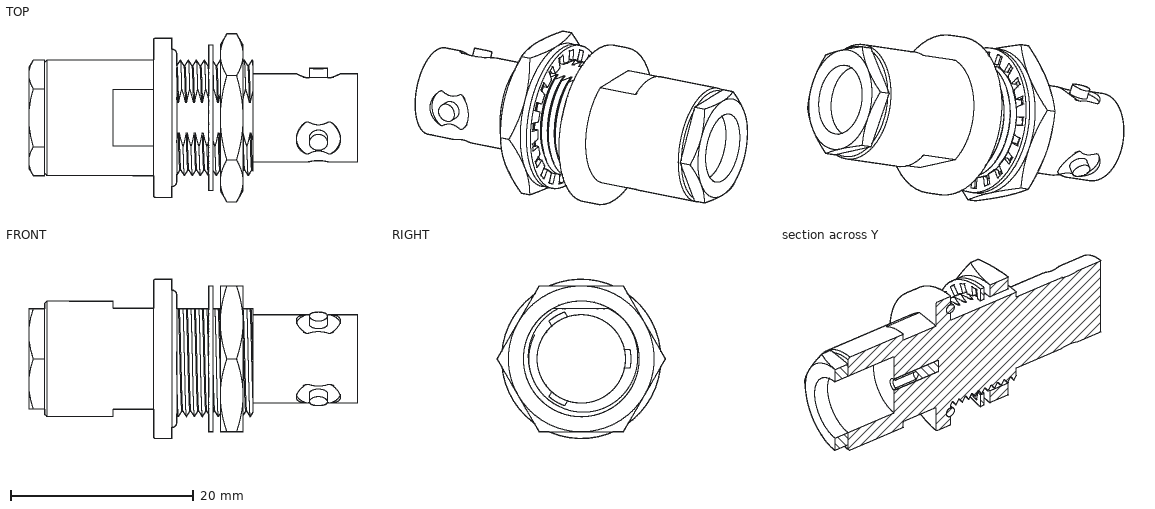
import cadquery as cq
import math


clamp_nut_length = 1.75
flange_start = 13.69
flange_thickness = 2.0
flange_end = flange_start + flange_thickness
thread_end = 24.6
overall_length = 36.07

barrel_diameter = 12.7
barrel_edge_chamfer = 0.25
barrel_flat_start = 9.26
barrel_flats_across = 11.1
cable_bore_diameter = 7.6
cable_bore_floor = 8.0

flange_diameter = 17.5
flange_edge_radius = 0.2
seal_outer_diameter = 15.1
seal_section_radius = 0.54

thread_diameter = 12.7
thread_pitch = 0.875
thread_depth = 0.6
thread_ridge_width = 0.76
thread_crest_offset = 0.06
thread_flat_height = 5.5
thread_root_radius = thread_diameter / 2 - thread_depth

tube_diameter = 9.7
stud_position = 31.76
stud_count = 3
stud_diameter = 2.0
stud_root_radius = 2.5
stud_tip_radius = 5.45
stud_seat_diameter = 4.84
stud_seat_height = 4.4
groove_width = 2.3
groove_depth = 0.15

hex_corner_angle = 30.0
clamp_nut_across_flats = 11.0
lock_nut_across_flats = 16.0
lock_nut_start = 21.0
lock_nut_thickness = 2.5

washer_diameter = 16.0
washer_start = 19.72
washer_thickness = 0.5
washer_tooth_count = 20
washer_slot_width = 0.9
washer_slot_outer_radius = 7.5

contact_diameter = 1.45
contact_cup_diameter = 1.0
contact_cup_depth = 3.0
contact_length = 6.0
drill_point_angle = 118.0

AXIS_START = (0, 0, 0)
AXIS_END = (1, 0, 0)


def cylinder(diameter, start, end):
    return cq.Workplane("YZ", origin=(start, 0, 0)).circle(diameter / 2).extrude(end - start)


def revolve_about_x(profile):
    return profile.close().revolve(360, AXIS_START, AXIS_END)


def hexagon(across_flats, start, length, cone_both_ends):
    """Hexagonal prism with its corners turned down to the across-flats circle at the end faces."""
    corner_radius = across_flats / 2 / math.cos(math.pi / 6)
    flat_radius = across_flats / 2
    setback = (corner_radius - flat_radius) * math.tan(math.radians(hex_corner_angle))
    end = start + length
    prism = cq.Workplane("YZ", origin=(start, 0, 0)).polygon(6, 2 * corner_radius).extrude(length)
    turned = cq.Workplane("XY").moveTo(start, 0).lineTo(start, flat_radius)
    turned = turned.lineTo(start + setback, corner_radius)
    if cone_both_ends:
        turned = turned.lineTo(end - setback, corner_radius).lineTo(end, flat_radius)
    else:
        turned = turned.lineTo(end, corner_radius)
    return prism.intersect(revolve_about_x(turned.lineTo(end, 0)))


def make_barrel():
    """Chamfered cylinder with a pair of wrench flats, facing +Z and -Z, next to the flange."""
    barrel = cylinder(barrel_diameter, clamp_nut_length, flange_start)
    barrel = barrel.faces("<X").chamfer(barrel_edge_chamfer)
    flat_length = flange_start - barrel_flat_start
    flat_cutter = cq.Workplane("XY", origin=(barrel_flat_start, 0, barrel_flats_across / 2)).box(
        flat_length, barrel_diameter, barrel_diameter, centered=(False, True, False)
    )
    return barrel.cut(flat_cutter).cut(flat_cutter.mirror("XY"))


def make_flange():
    return cylinder(flange_diameter, flange_start, flange_end).faces("<X").edges().fillet(flange_edge_radius)


def make_thread():
    """Root cylinder plus a helical ridge, trimmed to the neck and cut by the flat."""
    helix_start = flange_end - thread_pitch + thread_crest_offset
    helix_length = thread_end + 2 * thread_pitch - helix_start
    bite = 0.1
    half_base = thread_ridge_width / 2 * (1 + bite / thread_depth)
    helix = cq.Wire.makeHelix(thread_pitch, helix_length, thread_root_radius)
    ridge = (
        cq.Workplane("XZ")
        .moveTo(thread_root_radius - bite, -half_base)
        .lineTo(thread_diameter / 2, 0)
        .lineTo(thread_root_radius - bite, half_base)
        .close()
        .sweep(cq.Workplane(obj=helix), isFrenet=True)
    )
    ridge = ridge.rotate((0, 0, 0), (1, 1, 1), 120).translate((helix_start, 0, 0))
    root = cylinder(2 * thread_root_radius, flange_end, thread_end)
    neck = cylinder(thread_diameter, flange_end, thread_end)
    neck_length = thread_end - flange_end
    above_flat = cq.Workplane("XY", origin=(flange_end, 0, thread_flat_height)).box(
        neck_length, thread_diameter, thread_diameter, centered=(False, True, False)
    )
    return root.union(ridge.intersect(neck)).cut(above_flat)


def make_groove():
    """Shallow arc-bottomed ring groove running through the studs."""
    tube_radius = tube_diameter / 2
    arc_radius = ((groove_width / 2) ** 2 + groove_depth**2) / (2 * groove_depth)
    arc_center = tube_radius - groove_depth + arc_radius
    quarter = groove_width / 4
    quarter_height = arc_center - math.sqrt(arc_radius**2 - quarter**2)
    left = stud_position - groove_width / 2
    right = stud_position + groove_width / 2
    bottom = (stud_position, tube_radius - groove_depth)
    profile = (
        cq.Workplane("XY")
        .moveTo(left, tube_radius)
        .threePointArc((stud_position - quarter, quarter_height), bottom)
        .threePointArc((stud_position + quarter, quarter_height), (right, tube_radius))
        .lineTo(right, tube_diameter)
        .lineTo(left, tube_diameter)
    )
    return revolve_about_x(profile)


def radial_cylinder(diameter, inner_radius, outer_radius, angle):
    """Cylinder at the stud position pointing outward, turned about X from the +Y side."""
    plane = cq.Plane(origin=(stud_position, inner_radius, 0), xDir=(1, 0, 0), normal=(0, 1, 0))
    shape = cq.Workplane(plane).circle(diameter / 2).extrude(outer_radius - inner_radius)
    return shape.rotate(AXIS_START, AXIS_END, angle)


def make_bayonet_tube():
    tube = cylinder(tube_diameter, thread_end, overall_length).cut(make_groove())
    angles = [360 / stud_count * index for index in range(stud_count)]
    for angle in angles:
        tube = tube.cut(radial_cylinder(stud_seat_diameter, stud_seat_height, tube_diameter, angle))
    stud_start = stud_position - stud_diameter
    stud_end = stud_position + stud_diameter
    tip_envelope = cylinder(2 * stud_tip_radius, stud_start, stud_end)
    for angle in angles:
        stud = radial_cylinder(stud_diameter, stud_root_radius, tube_diameter, angle)
        tube = tube.union(stud.intersect(tip_envelope))
    return tube


def make_housing():
    housing = make_barrel().union(make_flange()).union(make_thread()).union(make_bayonet_tube())
    housing = housing.cut(cylinder(cable_bore_diameter, clamp_nut_length, cable_bore_floor))
    housing = housing.cut(make_seal_ring())
    return housing.cut(cylinder(contact_diameter, cable_bore_floor, cable_bore_floor + contact_length))


def make_clamp_nut():
    nut = hexagon(clamp_nut_across_flats, 0, clamp_nut_length, cone_both_ends=False)
    return nut.cut(cylinder(cable_bore_diameter, 0, clamp_nut_length))


def make_seal_ring():
    """Round-section ring centered on the +X face of the flange."""
    ring_radius = seal_outer_diameter / 2 - seal_section_radius
    center = cq.Vector(flange_end, 0, 0)
    return cq.Workplane(obj=cq.Solid.makeTorus(ring_radius, seal_section_radius, center, cq.Vector(AXIS_END)))


def make_washer():
    washer_end = washer_start + washer_thickness
    washer = cylinder(washer_diameter, washer_start, washer_end)
    slot = cq.Workplane("XY").box(
        washer_thickness, washer_slot_outer_radius, washer_slot_width, centered=(False, False, True)
    )
    slot = slot.translate((washer_start, 0, 0))
    tooth_pitch = 360 / washer_tooth_count
    for index in range(washer_tooth_count):
        washer = washer.cut(slot.rotate(AXIS_START, AXIS_END, tooth_pitch * (index + 0.5)))
    return washer.cut(cylinder(thread_diameter, washer_start, washer_end))


def make_lock_nut():
    nut = hexagon(lock_nut_across_flats, lock_nut_start, lock_nut_thickness, cone_both_ends=True)
    return nut.cut(cylinder(thread_diameter, lock_nut_start, lock_nut_start + lock_nut_thickness))


def make_contact():
    """Rod with a blind cup: a 45 degree lead-in at the mouth and a drill point at the bottom."""
    rod_radius = contact_diameter / 2
    cup_radius = contact_cup_diameter / 2
    back = cable_bore_floor + contact_length
    cup_bottom = cable_bore_floor + contact_cup_depth
    point_depth = cup_radius / math.tan(math.radians(drill_point_angle / 2))
    profile = (
        cq.Workplane("XY")
        .moveTo(cable_bore_floor, rod_radius)
        .lineTo(back, rod_radius)
        .lineTo(back, 0)
        .lineTo(cup_bottom + point_depth, 0)
        .lineTo(cup_bottom, cup_radius)
        .lineTo(cable_bore_floor + rod_radius - cup_radius, cup_radius)
    )
    return revolve_about_x(profile)


housing = make_housing()
clamp_nut = make_clamp_nut()
seal_ring = make_seal_ring()
washer = make_washer()
lock_nut = make_lock_nut()
contact = make_contact()

result = cq.Compound.makeCompound(
    [housing.val(), clamp_nut.val(), seal_ring.val(), washer.val(), lock_nut.val(), contact.val()]
)